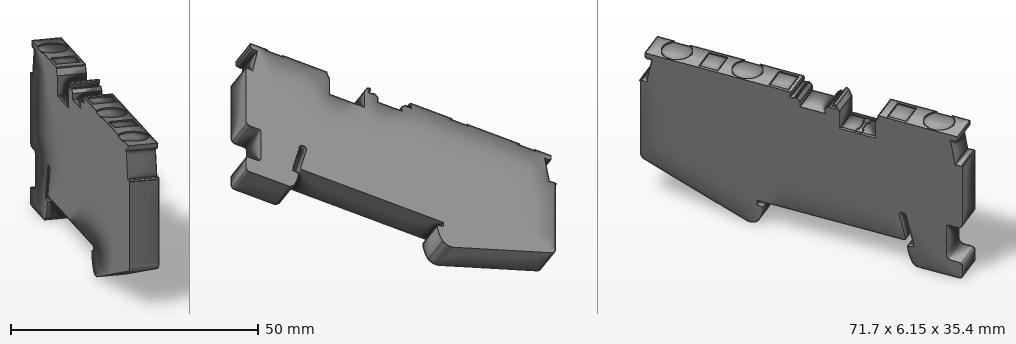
import cadquery as cq
import math

length = 71.7
width = 6.15
height = 35.4

cap_left = 1.1
cap_right = 70.5
cap_bevel_z = 34.4
cap_bottom_z = 34.1
cap_bevel = 0.5
neck_top_inset = 2.7
neck_bottom_inset = 1.6

shoulder_z = 28.3
shoulder_dip = 0.12
shoulder_crest_inset = 0.25
shoulder_edge_drop = 0.15
right_rim = 0.2
right_wall_x = length - right_rim

well_left = 19.35
well_right = 27.35
well_floor_z = 29.55
well_flare = 0.65
well_flare_z = 33.75
well_lip_z = 35.1

seat_x = 33.3
seat_half = 2.8
seat_floor_z = 32.35
bump_base_z = 33.6
bump_peak_inner_half = 3.5
bump_peak_outer_half = 3.75
bump_peak_z = 34.3
bump_outer_half = 4.15
notch_half = 5.0
notch_floor_z = 34.1
lip_bottom_z = 34.75
lip_half = 4.55
lip_bevel = 0.25

side_notch_depth = 3.5
side_notch_top_z = 12.6
side_notch_bottom_z = 3.9
notch_large_round = 1.1
notch_small_round = 0.5
foot_round = 0.8
left_foot_ankle_x = 10.85
left_foot_toe_x = 12.2
left_foot_curve_mid = (11.8, 2.45)
left_foot_curve_end = (11.05, 0.75)
left_foot_sole_x = 10.2

slot_top_z = 12.65
slot_bend_z = 5.5
slot_width = 1.55
slot_lean = math.radians(14)
slot_mouth_round = 0.35

rail_face_z = 5.9
hook_root_z = 4.85
hook_tip_z = 4.5
rail_right = 45.6
right_hook_x = 44.3

right_foot_curve_top_z = 3.6
right_foot_curve_mid = (44.7, 2.2)
right_foot_curve_end = (45.4, 0.8)
right_sole_x = 47.2
slope_start_x = 48.1
slope_start_z = 0.16
slope_angle = math.radians(20.7)
slope_end_z = slope_start_z + (right_wall_x - slope_start_x) * math.tan(slope_angle)
slope_end_round = 1.4

recess_depth = 0.3
circle_radius = 3.18
circle_y = -0.4
circle_centres_x = (6.75, 49.3, 64.95)
window_half_width = 2.48
window_spans_x = ((12.75, 16.9), (38.9, 43.2), (54.65, 58.75))

ridge_x = 23.4
ridge_half = 0.68
ridge_side_height = 0.06
ridge_crown_height = 0.24
ridge_waist_half = 0.32
ridge_waist_half_width = 1.2


def seat_side(side):
    """Points of one flank of the marker seat, from its lip down to the seat floor."""
    spans = (
        (lip_half + lip_bevel, height),
        (lip_half, height - lip_bevel),
        (lip_half, lip_bottom_z),
        (notch_half, lip_bottom_z),
        (notch_half, notch_floor_z),
        (bump_outer_half, notch_floor_z),
        (bump_peak_outer_half, bump_peak_z),
        (bump_peak_inner_half, bump_peak_z),
        (seat_half, bump_base_z),
        (seat_half, seat_floor_z),
    )
    return [(seat_x + side * half, z) for half, z in spans]


def left_top_points():
    """From the left wall over the left cap to the floor of the well."""
    return [
        (0, shoulder_z - shoulder_edge_drop),
        (shoulder_crest_inset, shoulder_z),
        (neck_bottom_inset, shoulder_z - shoulder_dip),
        (neck_top_inset, cap_bottom_z),
        (cap_left + cap_bevel, cap_bottom_z),
        (cap_left, cap_bevel_z),
        (cap_left, height),
        (well_left - well_flare, height),
        (well_left - well_flare, well_lip_z),
        (well_left, well_flare_z),
        (well_left, well_floor_z),
    ]


def middle_top_points():
    """From the floor of the well up its right wall and across the marker seat."""
    well_side = [
        (well_right, well_floor_z),
        (well_right, well_flare_z),
        (well_right + well_flare, well_lip_z),
    ]
    return well_side + seat_side(-1) + seat_side(1)[::-1]


def right_top_points():
    """From the right cap down to the start of the slope."""
    return [
        (cap_right, height),
        (cap_right, cap_bevel_z),
        (cap_right - cap_bevel, cap_bottom_z),
        (length - neck_top_inset, cap_bottom_z),
        (length - neck_bottom_inset, shoulder_z - shoulder_dip),
        (right_wall_x - shoulder_crest_inset, shoulder_z),
        (length, shoulder_z - shoulder_edge_drop),
        (right_wall_x, shoulder_z - shoulder_edge_drop - right_rim),
        (right_wall_x, slope_end_z),
        (slope_start_x, slope_start_z),
    ]


slot_radius = slot_width / 2
slot_across_x = slot_radius * math.cos(slot_lean)
slot_across_z = slot_radius * math.sin(slot_lean)
slot_end_z = slot_top_z - slot_radius
slot_end_x = (
    left_foot_ankle_x
    + slot_across_x
    + (slot_end_z + slot_across_z - slot_bend_z) * math.tan(slot_lean)
)
slot_mouth_x = (
    slot_end_x
    + slot_across_x
    - (slot_end_z - slot_across_z - rail_face_z) * math.tan(slot_lean)
)


def draw_underside(outline):
    """Continue the outline from the right foot along the rail face to the left foot."""
    return (
        outline.threePointArc((right_sole_x, 0), right_foot_curve_end)
        .threePointArc(right_foot_curve_mid, (right_hook_x, right_foot_curve_top_z))
        .lineTo(right_hook_x, hook_tip_z)
        .lineTo(rail_right, hook_root_z)
        .lineTo(rail_right, rail_face_z)
        .lineTo(slot_mouth_x, rail_face_z)
        .lineTo(slot_end_x + slot_across_x, slot_end_z - slot_across_z)
        .threePointArc(
            (slot_end_x + slot_across_z, slot_end_z + slot_across_x),
            (slot_end_x - slot_across_x, slot_end_z + slot_across_z),
        )
        .lineTo(left_foot_ankle_x, slot_bend_z)
        .lineTo(left_foot_ankle_x, hook_root_z)
        .lineTo(left_foot_toe_x, hook_tip_z)
        .threePointArc(left_foot_curve_mid, left_foot_curve_end)
        .lineTo(left_foot_sole_x, 0)
    )


def make_body():
    """Full outline extruded across the width, with sharp corners."""
    top_points = left_top_points() + middle_top_points() + right_top_points()
    outline = draw_underside(cq.Workplane("XZ").polyline(top_points))
    return (
        outline.lineTo(0, 0)
        .lineTo(0, side_notch_bottom_z)
        .lineTo(side_notch_depth, side_notch_bottom_z)
        .lineTo(side_notch_depth, side_notch_top_z)
        .lineTo(0, side_notch_top_z)
        .close()
        .extrude(width / 2, both=True)
    )


def round_corner(body, x, z, radius):
    """Fillet the edge that runs across the width at one corner of the outline."""
    reach = 0.05
    around_corner = cq.selectors.BoxSelector(
        (x - reach, -width, z - reach), (x + reach, width, z + reach)
    )
    return body.edges(around_corner).fillet(radius)


def round_corners(body):
    corners = (
        (0, side_notch_top_z, notch_large_round),
        (side_notch_depth, side_notch_top_z, notch_small_round),
        (side_notch_depth, side_notch_bottom_z, notch_large_round),
        (0, side_notch_bottom_z, foot_round),
        (0, 0, foot_round),
        (slot_mouth_x, rail_face_z, slot_mouth_round),
        (right_wall_x, slope_end_z, slope_end_round),
    )
    for x, z, radius in corners:
        body = round_corner(body, x, z, radius)
    return body


def box(x_min, x_max, half_width, z_min, z_max):
    """Block centred on Y = 0 between the given X and Z limits."""
    return (
        cq.Workplane("XY")
        .box(x_max - x_min, 2 * half_width, z_max - z_min, centered=(False, True, False))
        .translate((x_min, 0, z_min))
    )


def cut_top_recesses(body):
    """Shallow round and rectangular recesses in the two top faces."""
    floor_z = height - recess_depth
    for x in circle_centres_x:
        disc = cq.Workplane("XY", origin=(x, circle_y, floor_z)).circle(circle_radius)
        body = body.cut(disc.extrude(recess_depth))
    for x_min, x_max in window_spans_x:
        body = body.cut(box(x_min, x_max, window_half_width, floor_z, height))
    return body


def make_ridge(floor_z):
    """Crowned bar along Y with both sides cut back along its middle."""
    side_z = floor_z + ridge_side_height
    crown_z = floor_z + ridge_crown_height
    left = ridge_x - ridge_half
    right = ridge_x + ridge_half
    bar = (
        cq.Workplane("XZ")
        .moveTo(left, floor_z)
        .lineTo(left, side_z)
        .threePointArc((ridge_x, crown_z), (right, side_z))
        .lineTo(right, floor_z)
        .close()
        .extrude(window_half_width, both=True)
    )
    left_relief = box(left, ridge_x - ridge_waist_half, ridge_waist_half_width, floor_z, crown_z)
    right_relief = box(ridge_x + ridge_waist_half, right, ridge_waist_half_width, floor_z, crown_z)
    return bar.cut(left_relief).cut(right_relief)


def cut_well_recess(body):
    """Recess in the well floor that leaves the ridge standing."""
    floor_z = well_floor_z - recess_depth
    recess = box(well_left, well_right, window_half_width, floor_z, well_floor_z)
    return body.cut(recess.cut(make_ridge(floor_z)))


result = make_body()
result = round_corners(result)
result = cut_top_recesses(result)
result = cut_well_recess(result)